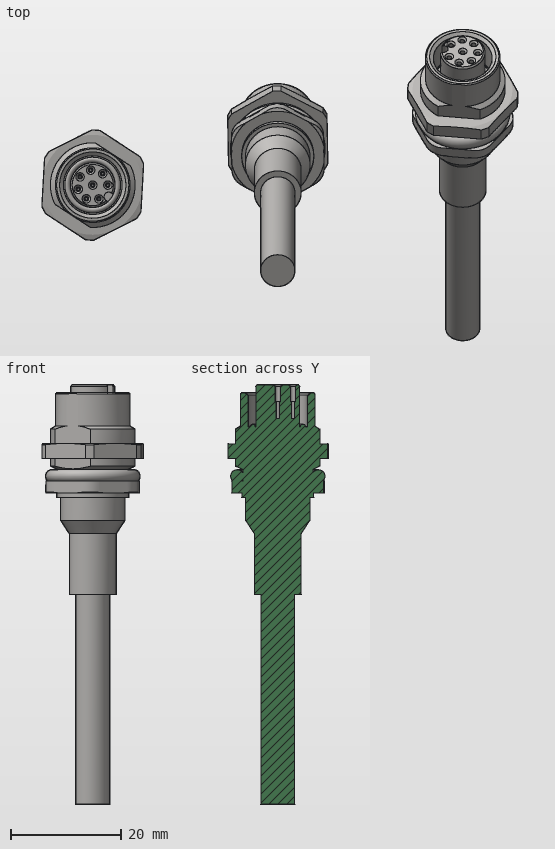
import cadquery as cq
import math

TOTAL_LENGTH = 76.0
CABLE_TOP = 38.0
STRAIN_RELIEF_TOP = 49.0
TAPER_TOP = 51.45
BODY_TOP = 55.55
HEX_BOTTOM = 56.4
HEX_TOP = 58.6
THREAD_BOTTOM = 60.65
NUT_BOTTOM = 62.6
NUT_TOP = 65.35
THREAD_TOP = 68.55
SLEEVE_TOP = 74.55

CABLE_RADIUS = 3.1
STRAIN_RELIEF_RADIUS = 4.25
BODY_RADIUS = 5.85
COLLAR_RADIUS = 6.5
THREAD_RADIUS = 7.7
THREAD_CHAMFER_HEIGHT = 0.6
NECK_RADIUS = 6.4
SLEEVE_RADIUS = 6.8
SLEEVE_EDGE_CHAMFER = 0.2

WRENCH_TURN = -3.2
HEX_HALF_ANGLE = 30.0

CORNER_RATIO = 1 / math.cos(math.radians(HEX_HALF_ANGLE))

NUT_ACROSS_FLATS = 18.0
NUT_ACROSS_CORNERS = 20.0
NUT_BEVEL_RADIUS = 9.05
BEVEL_HEIGHT = 0.2

HEX_ACROSS_FLATS = 16.7
HEX_CORNER_FILLET = 3.35
HEX_BEVEL_RADIUS = 8.5

FLAT_SPACING = 13.3
FLAT_DISTANCE = FLAT_SPACING / 2
FLAT_DIRECTION = 2 * HEX_HALF_ANGLE + WRENCH_TURN

SEAL_RING_RADIUS = 7.4
SEAL_TUBE_RADIUS = 1.2
SEAL_HEIGHT = 59.4

BORE_RADIUS = 5.3
BORE_MOUTH_RADIUS = 6.0
BORE_FLARE_HEIGHT = 0.45
INSERT_RADIUS = 4.0
INSERT_EDGE_CHAMFER = 0.3
SOCKET_DEPTH = 7.6
SOCKET_FLOOR = TOTAL_LENGTH - SOCKET_DEPTH
INNER_RING_RADIUS = 4.55
INNER_RING_TUBE_RADIUS = 0.495

CONTACT_COUNT = 7
CONTACT_CIRCLE_RADIUS = 2.7
CONTACT_SPACING = 49.0
CONTACT_RADIUS = 0.42
CONTACT_MOUTH_RADIUS = 0.75
CONTACT_DEPTH = 3.05
CONTACT_PILOT_RADIUS = 0.2
CONTACT_PILOT_DEPTH = 6.1
KEY_DIRECTION = -36.0
KEY_RADIUS = 0.8
KEY_CENTER = 3.6


def revolve_profile(points):
    """Solid of revolution about Z from (radius, height) points."""
    return cq.Workplane("XZ").polyline(points).close().revolve(360, (0, 0, 0), (0, 1, 0))


def cylinder(radius, bottom, top):
    return cq.Workplane("XY").workplane(offset=bottom).circle(radius).extrude(top - bottom)


def torus(ring_radius, tube_radius, height):
    return cq.Workplane(cq.Solid.makeTorus(ring_radius, tube_radius, cq.Vector(0, 0, height)))


def hexagon(across_flats, bottom, top):
    """Hexagonal prism with corners toward +Y and -Y, turned with the wrench faces."""
    corner_diameter = across_flats * CORNER_RATIO
    prism = cq.Workplane("XY").workplane(offset=bottom).polygon(6, corner_diameter).extrude(top - bottom)
    return prism.rotate((0, 0, 0), (0, 0, 1), HEX_HALF_ANGLE + WRENCH_TURN)


def turned_body():
    return revolve_profile([
        (0, 0),
        (CABLE_RADIUS, 0),
        (CABLE_RADIUS, CABLE_TOP),
        (STRAIN_RELIEF_RADIUS, CABLE_TOP),
        (STRAIN_RELIEF_RADIUS, STRAIN_RELIEF_TOP),
        (BODY_RADIUS, TAPER_TOP),
        (BODY_RADIUS, BODY_TOP),
        (COLLAR_RADIUS, BODY_TOP),
        (COLLAR_RADIUS, HEX_BOTTOM),
        (NECK_RADIUS, HEX_BOTTOM),
        (NECK_RADIUS, THREAD_BOTTOM),
        (THREAD_RADIUS, THREAD_BOTTOM + THREAD_CHAMFER_HEIGHT),
        (THREAD_RADIUS, THREAD_TOP - THREAD_CHAMFER_HEIGHT),
        (SLEEVE_RADIUS, THREAD_TOP),
        (SLEEVE_RADIUS, SLEEVE_TOP - SLEEVE_EDGE_CHAMFER),
        (SLEEVE_RADIUS - SLEEVE_EDGE_CHAMFER, SLEEVE_TOP),
        (0, SLEEVE_TOP),
    ])


def side_flats():
    """Material outside the two opposite flats, from the thread to the sleeve rim."""
    height = SLEEVE_TOP - THREAD_BOTTOM
    depth = THREAD_RADIUS - FLAT_DISTANCE
    cutter = cq.Workplane("XY")
    for side in (-1, 1):
        slab = cq.Workplane("XY").box(depth, 2 * THREAD_RADIUS, height, centered=(True, True, False))
        cutter = cutter.add(slab.translate((side * (FLAT_DISTANCE + depth / 2), 0, THREAD_BOTTOM)))
    return cutter.combine().rotate((0, 0, 0), (0, 0, 1), FLAT_DIRECTION)


def mounting_nut():
    envelope = revolve_profile([
        (0, NUT_BOTTOM),
        (NUT_ACROSS_CORNERS / 2, NUT_BOTTOM),
        (NUT_ACROSS_CORNERS / 2, NUT_TOP - BEVEL_HEIGHT),
        (NUT_BEVEL_RADIUS, NUT_TOP),
        (0, NUT_TOP),
    ])
    bore = cylinder(FLAT_DISTANCE, NUT_BOTTOM, NUT_TOP)
    return hexagon(NUT_ACROSS_FLATS, NUT_BOTTOM, NUT_TOP).intersect(envelope).cut(bore)


def body_hexagon():
    corner_reach = HEX_ACROSS_FLATS / 2 * CORNER_RATIO
    rounded_reach = corner_reach - HEX_CORNER_FILLET * (CORNER_RATIO - 1)
    envelope = revolve_profile([
        (0, HEX_BOTTOM),
        (HEX_BEVEL_RADIUS, HEX_BOTTOM),
        (rounded_reach, HEX_BOTTOM + BEVEL_HEIGHT),
        (rounded_reach, HEX_TOP),
        (0, HEX_TOP),
    ])
    rounded = hexagon(HEX_ACROSS_FLATS, HEX_BOTTOM, HEX_TOP).edges("|Z").fillet(HEX_CORNER_FILLET)
    return rounded.intersect(envelope)


def socket_cavity():
    """Bore of the sleeve down to the socket floor, with a flared mouth."""
    return revolve_profile([
        (0, SOCKET_FLOOR),
        (BORE_RADIUS, SOCKET_FLOOR),
        (BORE_RADIUS, SLEEVE_TOP - BORE_FLARE_HEIGHT),
        (BORE_MOUTH_RADIUS, SLEEVE_TOP),
        (0, SLEEVE_TOP),
    ])


def contact_hole():
    """Stepped blind contact hole on the axis with a 45 degree mouth."""
    mouth_depth = CONTACT_MOUTH_RADIUS - CONTACT_RADIUS
    return revolve_profile([
        (0, TOTAL_LENGTH - CONTACT_PILOT_DEPTH),
        (CONTACT_PILOT_RADIUS, TOTAL_LENGTH - CONTACT_PILOT_DEPTH),
        (CONTACT_PILOT_RADIUS, TOTAL_LENGTH - CONTACT_DEPTH),
        (CONTACT_RADIUS, TOTAL_LENGTH - CONTACT_DEPTH),
        (CONTACT_RADIUS, TOTAL_LENGTH - mouth_depth),
        (CONTACT_MOUTH_RADIUS, TOTAL_LENGTH),
        (0, TOTAL_LENGTH),
    ])


def key_groove():
    """Round-bottomed groove down the side of the insert."""
    groove = cylinder(KEY_RADIUS, SOCKET_FLOOR, TOTAL_LENGTH).translate((KEY_CENTER, 0, 0))
    mouth = (
        cq.Workplane("XY")
        .box(KEY_RADIUS, 2 * KEY_RADIUS, SOCKET_DEPTH, centered=(False, True, False))
        .translate((KEY_CENTER, 0, SOCKET_FLOOR))
    )
    return groove.union(mouth).rotate((0, 0, 0), (0, 0, 1), KEY_DIRECTION)


def contact_insert():
    insert = cylinder(INSERT_RADIUS, SOCKET_FLOOR, TOTAL_LENGTH)
    insert = insert.faces(">Z").chamfer(INSERT_EDGE_CHAMFER).cut(key_groove())
    insert = insert.cut(contact_hole())
    outer_hole = contact_hole().translate((CONTACT_CIRCLE_RADIUS, 0, 0))
    for index in range(CONTACT_COUNT):
        insert = insert.cut(outer_hole.rotate((0, 0, 0), (0, 0, 1), index * CONTACT_SPACING))
    return insert


result = (
    turned_body()
    .cut(side_flats())
    .cut(socket_cavity())
    .union(mounting_nut())
    .union(body_hexagon())
    .union(torus(SEAL_RING_RADIUS, SEAL_TUBE_RADIUS, SEAL_HEIGHT))
    .union(contact_insert())
    .union(torus(INNER_RING_RADIUS, INNER_RING_TUBE_RADIUS, SOCKET_FLOOR))
)